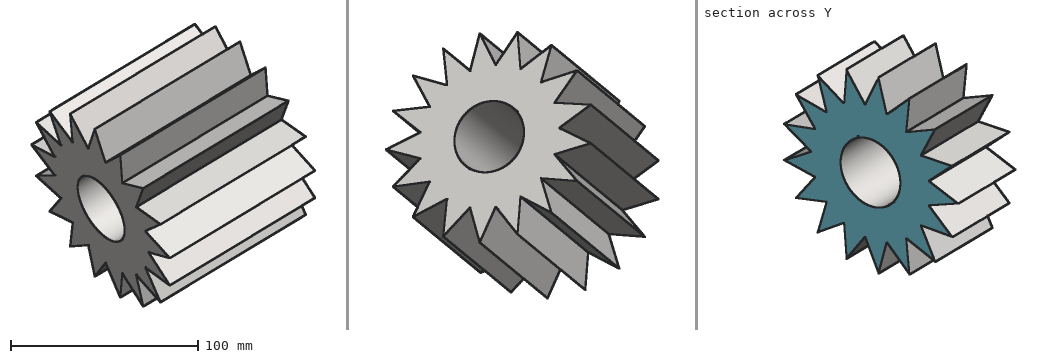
import cadquery as cq
import math

TOOTH_COUNT = 17
TIP_RADIUS = 59.292
ROOT_RADIUS = 40.25
BORE_DIAMETER = 40.0
LENGTH = 100.0

TOOTH_PITCH = 2 * math.pi / TOOTH_COUNT
FIRST_TIP_ANGLE = math.pi


def polar_point(radius, angle):
    """Point in the XZ profile plane at the given radius and angle."""
    return (radius * math.cos(angle), radius * math.sin(angle))


def star_outline():
    """Alternating sharp tips and sharp roots around the axis."""
    points = []
    for tooth in range(TOOTH_COUNT):
        tip_angle = FIRST_TIP_ANGLE + tooth * TOOTH_PITCH
        points.append(polar_point(TIP_RADIUS, tip_angle))
        points.append(polar_point(ROOT_RADIUS, tip_angle + TOOTH_PITCH / 2))
    return points


def toothed_body():
    """Star profile extruded along Y, centred on the XZ plane."""
    profile = cq.Workplane("XZ").polyline(star_outline()).close()
    return profile.extrude(LENGTH / 2, both=True)


def bore():
    """Cylinder along Y that cuts the through bore."""
    return cq.Workplane("XZ").circle(BORE_DIAMETER / 2).extrude(LENGTH / 2, both=True)


result = toothed_body().cut(bore())